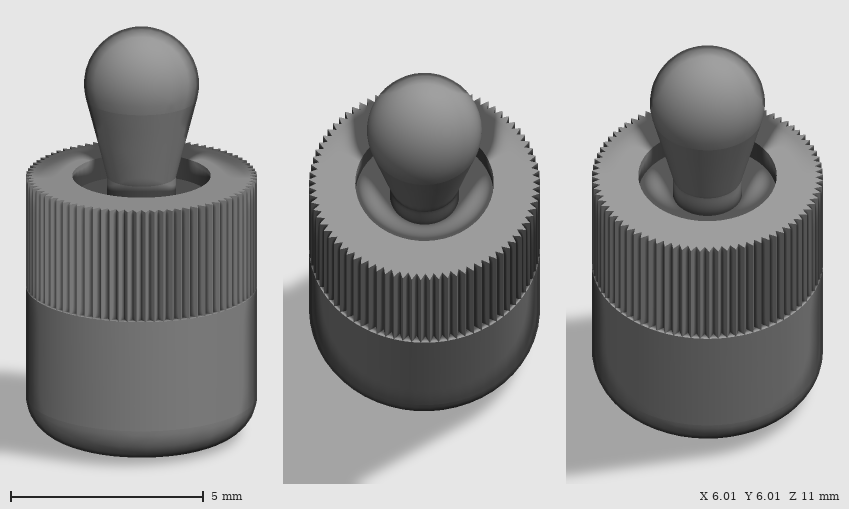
import cadquery as cq
import math

overall_height = 11.0

housing_diameter = 6.01
housing_radius = housing_diameter / 2
housing_height = 7.0
bottom_fillet = 1.0

knurl_height = 3.0
groove_count = 80
groove_depth = 0.2
groove_angle = 60.0

recess_diameter = 3.6
recess_depth = 0.6
recess_floor = housing_height - recess_depth

ball_radius = 1.5
ball_center = overall_height - ball_radius
neck_radius = 0.9
cone_start = housing_height


def make_groove(angle):
    """One vertical V groove at the given angle, open at the top of the housing."""
    overcut = groove_depth / 2
    tip = housing_radius - groove_depth
    mouth = housing_radius + overcut
    half_width = (mouth - tip) * math.tan(math.radians(groove_angle / 2))
    return (
        cq.Workplane("XY", origin=(0, 0, housing_height - knurl_height))
        .polyline([(tip, 0), (mouth, half_width), (mouth, -half_width)])
        .close()
        .extrude(knurl_height)
        .rotate((0, 0, 0), (0, 0, 1), angle)
    )


def make_housing():
    """Cylinder with a rounded bottom edge, a top recess and a knurled band."""
    housing = cq.Workplane("XY").circle(housing_radius).extrude(housing_height)
    housing = housing.faces("<Z").edges().fillet(bottom_fillet)
    recess = (
        cq.Workplane("XY", origin=(0, 0, recess_floor))
        .circle(recess_diameter / 2)
        .extrude(recess_depth)
    )
    grooves = [make_groove(i * 360 / groove_count).val() for i in range(groove_count)]
    housing = housing.cut(recess).cut(cq.Workplane(cq.Compound.makeCompound(grooves)))
    return housing.solids()


def make_pin():
    """Straight neck standing on the recess floor, then a cone that runs tangent into the ball."""
    drop = ball_center - cone_start
    tangent_angle = math.atan2(neck_radius, drop) + math.acos(ball_radius / math.hypot(neck_radius, drop))
    tangent_point = (
        ball_radius * math.sin(tangent_angle),
        ball_center - ball_radius * math.cos(tangent_angle),
    )
    return (
        cq.Workplane("XZ")
        .moveTo(0, recess_floor)
        .lineTo(neck_radius, recess_floor)
        .lineTo(neck_radius, cone_start)
        .lineTo(*tangent_point)
        .threePointArc((ball_radius, ball_center), (0, overall_height))
        .close()
        .revolve(360, (0, 0), (0, 1))
    )


housing = make_housing()
pin = make_pin()

result = cq.Compound.makeCompound([housing.val(), pin.val()])